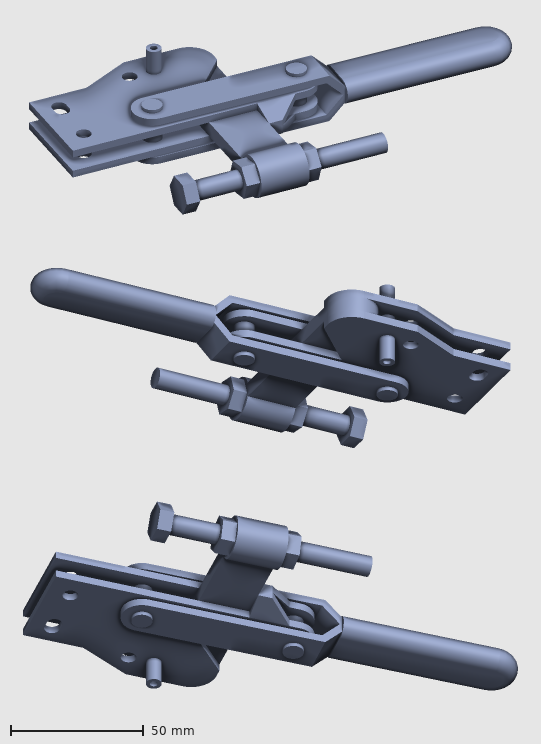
import math

import cadquery as cq


plate_thickness = 3.0
arm_half = plate_thickness
plate_outer = arm_half + plate_thickness
strap_inner = 7.0
strap_outer = strap_inner + plate_thickness
rivet_half_length = 11.5
tube_half_length = 16.0

base_left = -39.5
base_right = 8.5
base_top = 39.8
base_bottom = -37.2
base_corner_radius = 10.0
foot_left = base_left + base_corner_radius
foot_top = base_bottom + 24.0
taper_top = base_bottom + 44.3
seam_start_x = -26.0
seam_slope = 0.9
seam_end_y = base_top - seam_slope * (base_right - seam_start_x)
hole_diameter = 6.0
stop_hole_x = base_left + base_corner_radius
tube_y = base_top - 25.0
spare_hole_y = base_top - 35.0
mount_y = base_bottom + 9.0
mount_hole_x = base_right - 9.1
mount_slot_x = mount_hole_x - 19.9
mount_slot_length = 8.7

tube_diameter = hole_diameter
tube_bore = 3.0

handle_tilt = 0.5
pivot_distance = 60.0
strap_width = 16.0
strap_bend_y = 70.1
strap_bend_angle = 45
grip_start_y = 76.8
grip_tip_y = 148.8
grip_width = 20.0
grip_thickness = 10.0
rivet_diameter = 8.0

upper_pivot_x = pivot_distance * math.sin(math.radians(handle_tilt))
upper_pivot_y = pivot_distance * math.cos(math.radians(handle_tilt))

arm_height = 2 * base_corner_radius
arm_bottom = base_top - arm_height
lug_radius = base_right - upper_pivot_x
wing_length = 10.5
wing_contact = 0.5
wing_tip_y = base_top + 5.5
wing_root_y = wing_tip_y + wing_length
boss_x = 45.5
boss_diameter = 17.0

spindle_diameter = 8.0
spindle_top = 74.8
head_top = -5.4
hex_height = 5.5
hex_across_flats = 13.0
hex_across_corners = hex_across_flats / math.cos(math.radians(30))
nut_turn = -10


def cylinder_z(x, y, diameter, half_length):
    """Cylinder parallel to Z, centred on Z = 0."""
    return (
        cq.Workplane("XY", origin=(x, y, -half_length))
        .circle(diameter / 2)
        .extrude(2 * half_length)
    )


def cylinder_y(x, diameter, y_start, y_end):
    """Cylinder parallel to Y at Z = 0."""
    return (
        cq.Workplane("XZ", origin=(x, y_start, 0))
        .circle(diameter / 2)
        .extrude(y_start - y_end)
    )


def mirrored_pair(upper):
    """The given shape joined with its mirror image below Z = 0."""
    return upper.union(upper.mirror("XY"))


def make_base_plate(z_bottom):
    """Side plate with a rounded corner, a sloping upper edge against the arm lug and four holes."""
    plate = (
        cq.Workplane("XY", origin=(0, 0, z_bottom))
        .moveTo(foot_left, base_bottom)
        .lineTo(base_right, base_bottom)
        .lineTo(base_right, seam_end_y)
        .lineTo(seam_start_x, base_top)
        .lineTo(base_left + base_corner_radius, base_top)
        .radiusArc((base_left, base_top - base_corner_radius), -base_corner_radius)
        .lineTo(base_left, taper_top)
        .lineTo(foot_left, foot_top)
        .close()
        .extrude(plate_thickness)
    )
    for x, y in [(stop_hole_x, tube_y), (stop_hole_x, spare_hole_y), (mount_hole_x, mount_y)]:
        plate = plate.cut(cylinder_z(x, y, hole_diameter, plate_outer))
    slot = (
        cq.Workplane("XY", origin=(mount_slot_x, mount_y, 0))
        .slot2D(mount_slot_length, hole_diameter)
        .extrude(plate_outer, both=True)
    )
    return plate.cut(slot).cut(cylinder_z(0, 0, rivet_diameter, plate_outer))


def make_arm_bar():
    """Flat bar with a round tail, running out to the spindle boss."""
    tail_x = base_left + base_corner_radius
    return (
        cq.Workplane("XY")
        .moveTo(tail_x, arm_bottom)
        .lineTo(boss_x, arm_bottom)
        .lineTo(boss_x, base_top)
        .lineTo(tail_x, base_top)
        .threePointArc((base_left, base_top - base_corner_radius), (tail_x, arm_bottom))
        .close()
        .extrude(arm_half, both=True)
    )


def make_lug():
    """Cheek on the upper face of the bar that rises from the base plate seam to the upper pivot."""
    lug_left = upper_pivot_x - lug_radius
    lug_left_bottom = base_top - seam_slope * (lug_left - seam_start_x)
    return (
        cq.Workplane("XY", origin=(0, 0, arm_half))
        .moveTo(lug_left, lug_left_bottom)
        .lineTo(base_right, seam_end_y)
        .lineTo(base_right, upper_pivot_y)
        .threePointArc((upper_pivot_x, upper_pivot_y + lug_radius), (lug_left, upper_pivot_y))
        .close()
        .extrude(plate_thickness)
    )


def make_wing():
    """Flange that slopes from the lug down to the mid plane, with a cut-off corner.

    Its end has a narrow flat on which it joins the opposite wing.
    """
    wing_right = base_right + wing_length
    sloping_sheet = (
        cq.Workplane("XZ", origin=(0, base_top, 0))
        .polyline([
            (base_right, arm_half),
            (wing_right - wing_contact, 0),
            (wing_right, 0),
            (wing_right, arm_half),
            (base_right, plate_outer),
        ])
        .close()
        .extrude(base_top - wing_root_y)
    )
    outline = (
        cq.Workplane("XY")
        .polyline([
            (base_right, base_top),
            (wing_right, base_top),
            (wing_right, wing_tip_y),
            (base_right, wing_root_y),
        ])
        .close()
        .extrude(plate_outer)
    )
    return sloping_sheet.intersect(outline)


def make_arm():
    """Bar, boss, two lugs and two wings in one solid, bored for the spindle and the upper rivet."""
    arm = (
        make_arm_bar()
        .union(cylinder_y(boss_x, boss_diameter, arm_bottom, base_top))
        .union(mirrored_pair(make_lug()))
        .union(mirrored_pair(make_wing()))
    )
    spindle_bore = cylinder_y(boss_x, spindle_diameter, arm_bottom, base_top)
    rivet_bore = cylinder_z(upper_pivot_x, upper_pivot_y, rivet_diameter, plate_outer)
    return arm.cut(spindle_bore).cut(rivet_bore)


def make_strap():
    """Upper strap with a round lower end, bent inward to the grip."""
    inner_bend_y = strap_bend_y - plate_thickness * math.tan(math.radians(strap_bend_angle / 2))
    bend_slope = math.tan(math.radians(strap_bend_angle))
    apex_y = inner_bend_y + strap_inner / bend_slope
    outer_end_z = strap_outer - bend_slope * (grip_start_y - strap_bend_y)
    profile = (
        cq.Workplane("YZ")
        .polyline([
            (-strap_width / 2, strap_inner),
            (inner_bend_y, strap_inner),
            (apex_y, 0),
            (grip_start_y, 0),
            (grip_start_y, outer_end_z),
            (strap_bend_y, strap_outer),
            (-strap_width / 2, strap_outer),
        ])
        .close()
        .extrude(strap_width / 2, both=True)
    )
    outline = (
        cq.Workplane("XY")
        .moveTo(-strap_width / 2, 0)
        .threePointArc((0, -strap_width / 2), (strap_width / 2, 0))
        .lineTo(strap_width / 2, grip_start_y)
        .lineTo(-strap_width / 2, grip_start_y)
        .close()
        .extrude(strap_outer)
    )
    return profile.intersect(outline)


def make_grip():
    """Bar of flat oval section with a round tip."""
    tip_center_y = grip_tip_y - grip_width / 2
    side_radius = grip_thickness / 2
    flat_half = grip_width / 2 - side_radius
    shaft = (
        cq.Workplane("XZ", origin=(0, tip_center_y, 0))
        .slot2D(grip_width, grip_thickness)
        .extrude(tip_center_y - grip_start_y)
    )
    tip = (
        cq.Workplane("XZ", origin=(0, tip_center_y, 0))
        .moveTo(0, -side_radius)
        .lineTo(flat_half, -side_radius)
        .threePointArc((grip_width / 2, 0), (flat_half, side_radius))
        .lineTo(0, side_radius)
        .close()
        .revolve(180, (0, 0, 0), (0, 1, 0))
    )
    return shaft.union(tip)


def make_handle():
    """Two straps and the grip in one solid, bored for both rivets and tilted about the lower pivot."""
    handle = make_grip().union(mirrored_pair(make_strap()))
    for y in (0, pivot_distance):
        handle = handle.cut(cylinder_z(0, y, rivet_diameter, strap_outer))
    return handle.rotate((0, 0, 0), (0, 0, 1), -handle_tilt)


def make_hexagon(y_bottom, turn):
    """Hexagonal prism around the spindle axis, turned by the given angle in degrees."""
    prism = (
        cq.Workplane("XZ", origin=(boss_x, y_bottom, 0))
        .polygon(6, hex_across_corners)
        .extrude(-hex_height)
    )
    return prism.rotate((boss_x, 0, 0), (boss_x, 1, 0), turn)


def make_spindle():
    """Clamping screw with a hexagon head and a nut on each side of the boss."""
    return (
        cylinder_y(boss_x, spindle_diameter, head_top, spindle_top)
        .union(make_hexagon(head_top - hex_height, 0))
        .union(make_hexagon(arm_bottom - hex_height, nut_turn))
        .union(make_hexagon(base_top, nut_turn))
    )


def make_stop_tube():
    """Hollow stop pin through both base plates."""
    tube = cylinder_z(stop_hole_x, tube_y, tube_diameter, tube_half_length)
    return tube.cut(cylinder_z(stop_hole_x, tube_y, tube_bore, tube_half_length))


base_plates = [make_base_plate(z_bottom) for z_bottom in (arm_half, -plate_outer)]
arm = make_arm()
handle = make_handle()
rivets = [
    cylinder_z(x, y, rivet_diameter, rivet_half_length)
    for x, y in [(0, 0), (upper_pivot_x, upper_pivot_y)]
]
stop_tube = make_stop_tube()
spindle = make_spindle()

result = cq.Compound.makeCompound([
    *[plate.val() for plate in base_plates],
    arm.val(),
    handle.val(),
    *[rivet.val() for rivet in rivets],
    stop_tube.val(),
    spindle.val(),
])